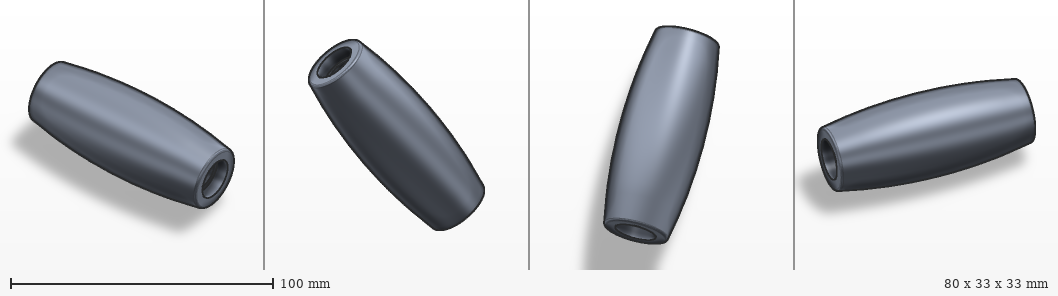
import cadquery as cq

length = 80.0
middle_diameter = 33.0
end_diameter = 25.0
end_fillet = 1.0

bore_diameter = 12.0
counterbore_diameter = 16.0
counterbore_depth = 5.0

half_length = length / 2
middle_radius = middle_diameter / 2
end_radius = end_diameter / 2


def make_barrel():
    """Revolve the arched outline about X and round the two end rims."""
    return (
        cq.Workplane("XY")
        .moveTo(-half_length, 0)
        .lineTo(-half_length, end_radius)
        .threePointArc((0, middle_radius), (half_length, end_radius))
        .lineTo(half_length, 0)
        .close()
        .revolve(360, (0, 0, 0), (1, 0, 0))
        .faces("<X or >X")
        .edges()
        .fillet(end_fillet)
    )


def cylinder_along_x(diameter, start, depth):
    """Cylinder on the X axis, from x = start to x = start + depth."""
    return cq.Workplane("YZ", origin=(start, 0, 0)).circle(diameter / 2).extrude(depth)


result = make_barrel().cut(cylinder_along_x(bore_diameter, -half_length, length))
for counterbore_start in (-half_length, half_length - counterbore_depth):
    result = result.cut(cylinder_along_x(counterbore_diameter, counterbore_start, counterbore_depth))